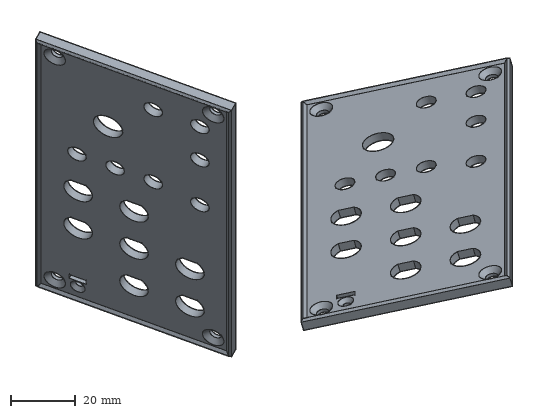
import cadquery as cq

width = 66.7
thickness = 3.9
height = 126.0

outer_bevel = 0.8
inner_bevel = 1.0
front_y = -thickness / 2
floor_y = front_y + inner_bevel

screw_x = 27.0
screw_z = 57.0
screw_diameter = 3.9
screw_head_diameter = 7.3
indicator_x = -19.2
indicator_z = -56.2
indicator_diameter = 2.4
indicator_head_diameter = 5.0

slot_width = 5.8
slot_height = 1.9
slot_z = -52.4

jack_diameter = 6.3
jack_right_x = 22.4
jack_spacing = 15.9
jack_column_x = jack_right_x - jack_spacing
jack_row_pitch = 13.0
jack_row_x = [jack_column_x - step * jack_row_pitch for step in range(3)]
jack_top_z = 48.4
jack_middle_z = 31.4
jack_low_z = 8.5
jack_row_z = 11.5
knob_diameter = 10.0
knob_x = -8.8
knob_z = 31.4

switch_diameter = 9.7
switch_flat_height = 4.2
switch_pitch = 19.0
switch_top_z = -7.2
switch_columns_by_row = ((-1, 0), (-1, 0, 1), (0, 1))


def ridge_frustum(depth, inset_change):
    """Rectangular frustum running in +Y from the ridge, its inset changing over the depth."""
    plane = cq.Plane(origin=(0, front_y, 0), xDir=(1, 0, 0), normal=(0, 1, 0))
    end_inset = outer_bevel + inset_change
    return (
        cq.Workplane(plane)
        .rect(width - 2 * outer_bevel, height - 2 * outer_bevel)
        .workplane(offset=depth)
        .rect(width - 2 * end_inset, height - 2 * end_inset)
        .loft(ruled=True)
    )


def through_cylinder(x, z, diameter):
    """Round cutter running through the full thickness."""
    return cq.Workplane(
        cq.Solid.makeCylinder(diameter / 2, thickness, cq.Vector(x, front_y, z), cq.Vector(0, 1, 0))
    )


def countersunk_hole(x, z, diameter, head_diameter):
    """Through cutter with a 45 degree cone opening at the floor."""
    cone = cq.Solid.makeCone(
        head_diameter / 2,
        diameter / 2,
        (head_diameter - diameter) / 2,
        cq.Vector(x, floor_y, z),
        cq.Vector(0, 1, 0),
    )
    return through_cylinder(x, z, diameter).union(cq.Workplane(cone))


def switch_hole(x, z):
    """Round cutter with a flat across its upper side."""
    keep_height = switch_diameter / 2 + switch_flat_height
    keep_z = z + switch_flat_height - keep_height / 2
    keep = cq.Workplane().box(switch_diameter, thickness, keep_height).translate((x, 0, keep_z))
    return through_cylinder(x, z, switch_diameter).intersect(keep)


slab_thickness = thickness - outer_bevel
panel = cq.Workplane().box(width, slab_thickness, height).translate((0, outer_bevel / 2, 0))
panel = panel.union(ridge_frustum(outer_bevel, -outer_bevel))
panel = panel.cut(ridge_frustum(inner_bevel, inner_bevel))

for x in (-screw_x, screw_x):
    for z in (-screw_z, screw_z):
        panel = panel.cut(countersunk_hole(x, z, screw_diameter, screw_head_diameter))
panel = panel.cut(
    countersunk_hole(indicator_x, indicator_z, indicator_diameter, indicator_head_diameter)
)

slot = cq.Workplane().box(slot_width, thickness, slot_height)
panel = panel.cut(slot.translate((indicator_x, 0, slot_z)))

jack_places = [(jack_column_x, jack_top_z)]
jack_places += [(jack_right_x, z) for z in (jack_top_z, jack_middle_z, jack_low_z)]
jack_places += [(x, jack_row_z) for x in jack_row_x]
for x, z in jack_places:
    panel = panel.cut(through_cylinder(x, z, jack_diameter))
panel = panel.cut(through_cylinder(knob_x, knob_z, knob_diameter))

for row, columns in enumerate(switch_columns_by_row):
    for column in columns:
        panel = panel.cut(switch_hole(column * switch_pitch, switch_top_z - row * switch_pitch))

result = panel